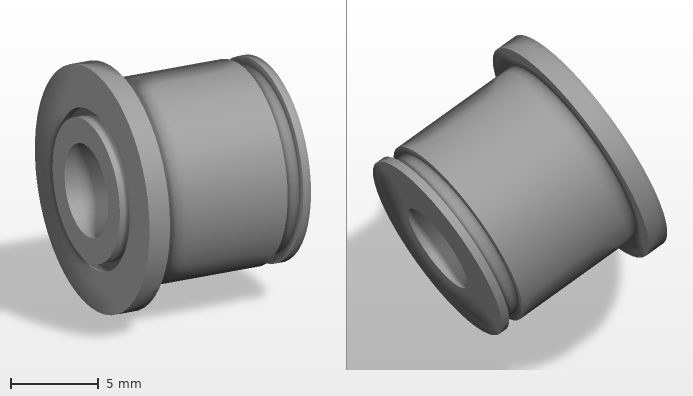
import cadquery as cq

flange_diameter = 14.5
body_diameter = 12.0
groove_diameter = 11.0
recess_diameter = 9.5
hub_diameter = 8.5
bore_diameter = 5.5

total_length = 11.3
hub_projection = 0.38
flange_thickness = 1.3
groove_width = 1.0
lip_width = 0.5
recess_depth = 0.5

flange_front = hub_projection
flange_back = flange_front + flange_thickness
lip_start = total_length - lip_width
groove_start = lip_start - groove_width


def cylinder(diameter, start, end):
    """Solid cylinder on the Y axis between two stations."""
    return (
        cq.Workplane("XZ", origin=(0, start, 0))
        .circle(diameter / 2)
        .extrude(-(end - start))
    )


flange = cylinder(flange_diameter, flange_front, flange_back)
body = cylinder(body_diameter, flange_back, groove_start)
groove_floor = cylinder(groove_diameter, groove_start, lip_start)
lip = cylinder(body_diameter, lip_start, total_length)
sleeve = flange.union(body).union(groove_floor).union(lip)

recess_floor = flange_front + recess_depth
recess = cylinder(recess_diameter, flange_front, recess_floor)
hub = cylinder(hub_diameter, 0, recess_floor)

bore = cylinder(bore_diameter, 0, total_length)

result = sleeve.cut(recess).union(hub).cut(bore)